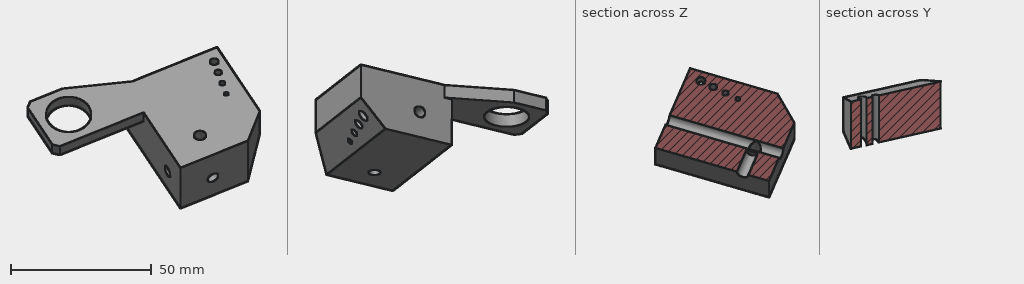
import cadquery as cq

block_length = 43.0
block_depth = 37.0
height = 23.0
corner_chamfer = 10.0

arm_width = 23.0
arm_thickness = 5.0
arm_overhang_left = 8.5
arm_reach = 35.5
arm_tip_chamfer = 2.0
taper_start = 15.0
taper_end = 38.5
ring_diameter = 16.0
ring_center = arm_width / 2

bore_diameter = 4.2
bore_from_right = 10.0
bore_from_front = 13.0
bore_height = 10.0
front_bore_depth = 10.0

graded_diameters = (3.0, 2.5, 2.0, 1.5)
graded_first_x = 5.5
graded_first_from_back = 4.0
graded_step_x = 5.0
graded_step_y = 1.0

block_left = arm_overhang_left
block_right = block_left + block_length
block_front = arm_reach
block_back = block_front + block_depth
bore_x = block_right - bore_from_right
bore_y = block_front + bore_from_front


def cylinder(diameter, length, start, direction):
    solid = cq.Solid.makeCylinder(diameter / 2, length, cq.Vector(*start), cq.Vector(*direction))
    return cq.Workplane(solid)


def make_block():
    block = cq.Workplane("XY").box(block_length, block_depth, height, centered=False)
    block = block.translate((block_left, block_front, 0))
    upright_cut = (
        cq.Workplane("XY")
        .moveTo(block_right, block_back)
        .lineTo(block_right - corner_chamfer, block_back)
        .lineTo(block_right, block_back - corner_chamfer)
        .close()
        .extrude(height)
    )
    lower_cut = (
        cq.Workplane("YZ", origin=(block_left, 0, 0))
        .moveTo(block_back, 0)
        .lineTo(block_back - corner_chamfer, 0)
        .lineTo(block_back, corner_chamfer)
        .close()
        .extrude(block_length)
    )
    return block.cut(upright_cut).cut(lower_cut)


def make_arm():
    outline = [
        (arm_tip_chamfer, 0),
        (arm_width - arm_tip_chamfer, 0),
        (arm_width, arm_tip_chamfer),
        (arm_width, taper_end),
        (block_left, taper_end),
        (0, taper_start),
        (0, arm_tip_chamfer),
    ]
    arm_underside = height - arm_thickness
    arm = cq.Workplane("XY", origin=(0, 0, arm_underside)).polyline(outline).close().extrude(arm_thickness)
    ring_start = (ring_center, ring_center, arm_underside)
    return arm.cut(cylinder(ring_diameter, arm_thickness, ring_start, (0, 0, 1)))


def cut_bores(body):
    body = body.cut(cylinder(bore_diameter, block_length, (block_left, bore_y, bore_height), (1, 0, 0)))
    body = body.cut(cylinder(bore_diameter, height, (bore_x, bore_y, 0), (0, 0, 1)))
    return body.cut(cylinder(bore_diameter, front_bore_depth, (bore_x, block_front, bore_height), (0, 1, 0)))


def cut_graded_holes(body):
    for index, diameter in enumerate(graded_diameters):
        x = block_left + graded_first_x + index * graded_step_x
        y = block_back - graded_first_from_back - index * graded_step_y
        body = body.cut(cylinder(diameter, height, (x, y, 0), (0, 0, 1)))
    return body


result = cut_graded_holes(cut_bores(make_block().union(make_arm())))